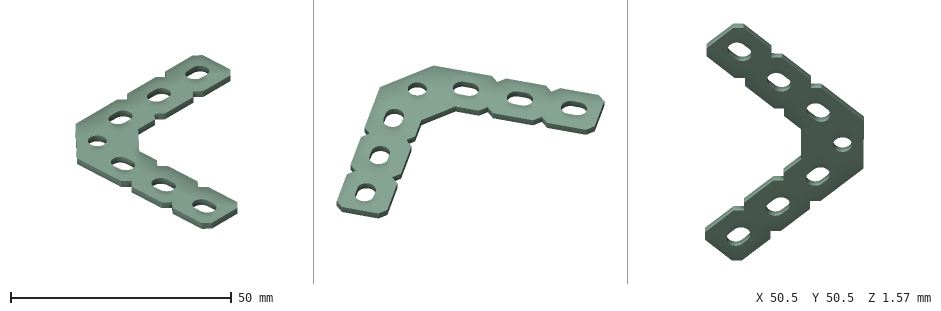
import cadquery as cq

arm_length = 50.5
arm_width = 11.87
thickness = 1.57

outer_corner_cut = 10.0
inner_corner_fill = 6.35
corner_hole_offset = 8.4
corner_hole_diameter = 4.3

pitch = 12.7
notch_depth = 1.65
notch_stations = (2 * pitch, 3 * pitch)
end_chamfer = 1.65
slot_stations = (1.5 * pitch, 2.5 * pitch, 3.5 * pitch)
slot_offset = 5.6
slot_length = 6.0
slot_width = 4.25


def outer_edge_points():
    """Points along the X arm, on its outer edge, from the corner to the tip."""
    points = [(outer_corner_cut, 0)]
    for station in notch_stations:
        points.append((station - notch_depth, 0))
        points.append((station, notch_depth))
        points.append((station + notch_depth, 0))
    points.append((arm_length - end_chamfer, 0))
    points.append((arm_length, end_chamfer))
    return points


def inner_edge_points():
    """Points along the X arm, on its inner edge, from the tip to the corner."""
    points = [(arm_length, arm_width - end_chamfer)]
    points.append((arm_length - end_chamfer, arm_width))
    for station in reversed(notch_stations):
        points.append((station + notch_depth, arm_width))
        points.append((station, arm_width - notch_depth))
        points.append((station - notch_depth, arm_width))
    points.append((arm_width + inner_corner_fill, arm_width))
    return points


def make_plate():
    """L-shaped plate, symmetric about the diagonal X = Y."""
    x_arm = outer_edge_points() + inner_edge_points()
    y_arm = [(y, x) for x, y in reversed(x_arm)]
    return cq.Workplane("XY").polyline(x_arm + y_arm).close().extrude(thickness)


def cut_slots(plate):
    """Rounded slots, each running lengthwise along its arm."""
    x_arm_centers = [(station, slot_offset) for station in slot_stations]
    y_arm_centers = [(slot_offset, station) for station in slot_stations]
    for centers, angle in ((x_arm_centers, 0), (y_arm_centers, 90)):
        slots = (
            cq.Workplane("XY")
            .pushPoints(centers)
            .slot2D(slot_length, slot_width, angle)
            .extrude(thickness)
        )
        plate = plate.cut(slots)
    return plate


def cut_corner_hole(plate):
    """Round through hole on the diagonal of the corner."""
    hole = (
        cq.Workplane("XY")
        .center(corner_hole_offset, corner_hole_offset)
        .circle(corner_hole_diameter / 2)
        .extrude(thickness)
    )
    return plate.cut(hole)


result = cut_corner_hole(cut_slots(make_plate()))